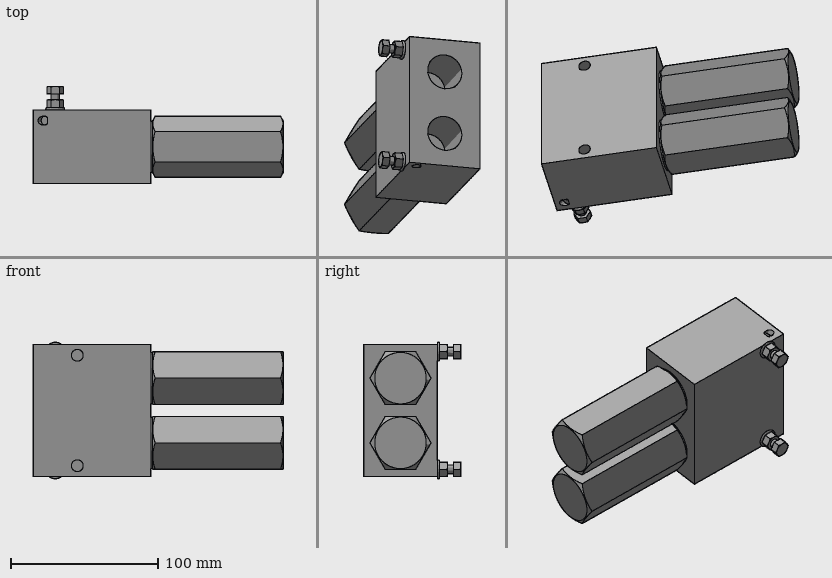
import cadquery as cq
import math

BLOCK_LENGTH = 80.0
BLOCK_DEPTH = 50.0
BLOCK_HEIGHT = 90.0

SIDES = (1, -1)
CIRCUIT_OFFSET = 22.0
CIRCUIT_Y = BLOCK_DEPTH / 2

PORT_DIAMETER = 24.12
PORT_DEPTH = 40.0

MOUNT_DIAMETER = 8.0
MOUNT_DEPTH = 16.0
MOUNT_X = 30.0
MOUNT_OFFSET = 37.5

SLANT_DIAMETER = 6.0
SLANT_ANGLE = 35.0
SLANT_DEPTH = 1.6
SLANT_X = 7.0
SLANT_Y = BLOCK_DEPTH - 7.2

VALVE_LENGTH = 90.0
VALVE_FLATS = 36.0
VALVE_NECK_LENGTH = 1.0
VALVE_FACE_DIAMETER = 35.0
HEX_CHAMFER_ANGLE = 30.0

SCREW_X = 15.0
SCREW_OFFSET = 40.0
SCREW_LENGTH = 16.0
SCREW_FLATS = 10.0
SHANK_DIAMETER = 6.0
HEAD_LENGTH = 5.0
FLANGE_DIAMETER = 12.91
FLANGE_LENGTH = 1.6
NUT_TOP = 7.0
SCREW_FACE_DIAMETER = 10.0


def hex_corners(flats):
    """Across-corners size of a hexagon from its across-flats size."""
    return flats / math.cos(math.radians(30))


def chamfered_hex(flats, length, face_diameter, both_ends):
    """Hexagonal bar along +Z, corners on X, with conical chamfers on the top or on both ends."""
    corner_radius = hex_corners(flats) / 2
    face_radius = face_diameter / 2
    drop = (corner_radius - face_radius) * math.tan(math.radians(HEX_CHAMFER_ANGLE))
    profile = cq.Workplane("XZ").moveTo(0, 0)
    if both_ends:
        profile = profile.lineTo(face_radius, 0).lineTo(corner_radius, drop)
    else:
        profile = profile.lineTo(corner_radius, 0)
    envelope = (
        profile.lineTo(corner_radius, length - drop)
        .lineTo(face_radius, length)
        .lineTo(0, length)
        .close()
        .revolve(360, (0, 0, 0), (0, 1, 0))
    )
    bar = cq.Workplane("XY").polygon(6, 2 * corner_radius).extrude(length)
    return bar.intersect(envelope)


def slant_hole(side):
    """Cutter for the slanted hole in the top (side 1) or bottom (side -1) face."""
    overrun = SLANT_DIAMETER
    lean = math.radians(SLANT_ANGLE)
    inward = cq.Vector(math.sin(lean), 0, -side * math.cos(lean))
    mouth = cq.Vector(SLANT_X, SLANT_Y, side * BLOCK_HEIGHT / 2)
    cutter = cq.Solid.makeCylinder(
        SLANT_DIAMETER / 2, SLANT_DEPTH + overrun, mouth - inward * overrun, inward
    )
    return cq.Workplane(obj=cutter)


def make_block():
    block = cq.Workplane("XY").box(BLOCK_LENGTH, BLOCK_DEPTH, BLOCK_HEIGHT, centered=(False, False, True))
    ports = (
        cq.Workplane("YZ")
        .pushPoints([(CIRCUIT_Y, side * CIRCUIT_OFFSET) for side in SIDES])
        .circle(PORT_DIAMETER / 2)
        .extrude(PORT_DEPTH)
    )
    mounts = (
        cq.Workplane("XZ")
        .pushPoints([(MOUNT_X, side * MOUNT_OFFSET) for side in SIDES])
        .circle(MOUNT_DIAMETER / 2)
        .extrude(-MOUNT_DEPTH)
    )
    block = block.cut(ports).cut(mounts)
    for side in SIDES:
        block = block.cut(slant_hole(side))
    return block


def make_valve(side):
    """Valve cartridge: short round neck, then a long hex chamfered at both ends."""
    neck = cq.Workplane("XY").circle(VALVE_FACE_DIAMETER / 2).extrude(VALVE_NECK_LENGTH)
    body = chamfered_hex(VALVE_FLATS, VALVE_LENGTH - VALVE_NECK_LENGTH, VALVE_FACE_DIAMETER, both_ends=True)
    valve = neck.union(body.translate((0, 0, VALVE_NECK_LENGTH))).rotate((0, 0, 0), (0, 0, 1), 90)
    valve = valve.rotate((0, 0, 0), (0, 1, 0), 90)
    return valve.translate((BLOCK_LENGTH, CIRCUIT_Y, side * CIRCUIT_OFFSET))


def make_screw(side):
    """Bleed screw: flange with a half-round rim, hex nut, round shank and hex head."""
    rim_start = FLANGE_DIAMETER / 2 - FLANGE_LENGTH / 2
    flange = (
        cq.Workplane("XZ")
        .lineTo(rim_start, 0)
        .threePointArc((FLANGE_DIAMETER / 2, FLANGE_LENGTH / 2), (rim_start, FLANGE_LENGTH))
        .lineTo(0, FLANGE_LENGTH)
        .close()
        .revolve(360, (0, 0, 0), (0, 1, 0))
    )
    shank = cq.Workplane("XY").circle(SHANK_DIAMETER / 2).extrude(SCREW_LENGTH)
    nut = chamfered_hex(SCREW_FLATS, NUT_TOP - FLANGE_LENGTH, SCREW_FACE_DIAMETER, both_ends=False)
    head = chamfered_hex(SCREW_FLATS, HEAD_LENGTH, SCREW_FACE_DIAMETER, both_ends=False)
    screw = (
        flange.union(shank)
        .union(nut.translate((0, 0, FLANGE_LENGTH)))
        .union(head.translate((0, 0, SCREW_LENGTH - HEAD_LENGTH)))
    )
    screw = screw.rotate((0, 0, 0), (1, 0, 0), -90)
    return screw.translate((SCREW_X, BLOCK_DEPTH, side * SCREW_OFFSET))


block = make_block()
valves = [make_valve(side) for side in SIDES]
screws = [make_screw(side) for side in SIDES]

result = cq.Compound.makeCompound([block.val(), *[body.val() for body in valves + screws]])